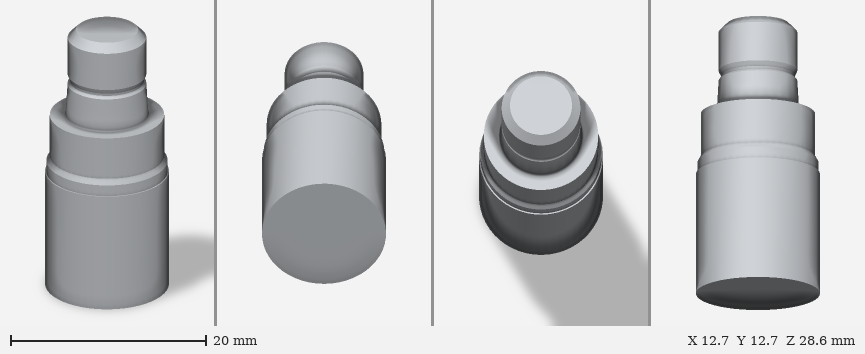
import cadquery as cq
import math

total_height = 28.6
base_height = 12.7

base_radius = 6.35

collar_radius = 6.2
collar_top = 13.9
shoulder_radius = 5.85
shoulder_bottom = 14.5
shoulder_top = 19.05

neck_bottom_radius = 4.23
neck_top_radius = 4.03
neck_top = 22.6
foot_fillet = 0.185

groove_radius = 3.78
groove_bottom = 22.88
groove_top = 23.15

head_radius = 4.03
head_bottom = 23.65
head_chamfer = 0.85


def make_base():
    """Plain cylinder that carries the stem on its flat top face."""
    return cq.Workplane("XY").circle(base_radius).extrude(base_height)


def make_stem():
    """Turned stem: collar, shoulder, tapered neck, groove and chamfered head."""
    fillet_outer_radius = neck_bottom_radius + foot_fillet
    fillet_top = shoulder_top + foot_fillet
    arc_reach = foot_fillet * math.sqrt(0.5)
    fillet_middle = (fillet_outer_radius - arc_reach, fillet_top - arc_reach)

    profile = (
        cq.Workplane("XZ")
        .moveTo(0, base_height)
        .lineTo(collar_radius, base_height)
        .lineTo(collar_radius, collar_top)
        .lineTo(shoulder_radius, shoulder_bottom)
        .lineTo(shoulder_radius, shoulder_top)
        .lineTo(fillet_outer_radius, shoulder_top)
        .threePointArc(fillet_middle, (neck_bottom_radius, fillet_top))
        .lineTo(neck_top_radius, neck_top)
        .lineTo(groove_radius, groove_bottom)
        .lineTo(groove_radius, groove_top)
        .lineTo(head_radius, head_bottom)
        .lineTo(head_radius, total_height - head_chamfer)
        .lineTo(head_radius - head_chamfer, total_height)
        .lineTo(0, total_height)
        .close()
    )
    return profile.revolve(360, (0, 0, 0), (0, 1, 0))


base = make_base()
stem = make_stem()

result = cq.Compound.makeCompound([base.val(), stem.val()])